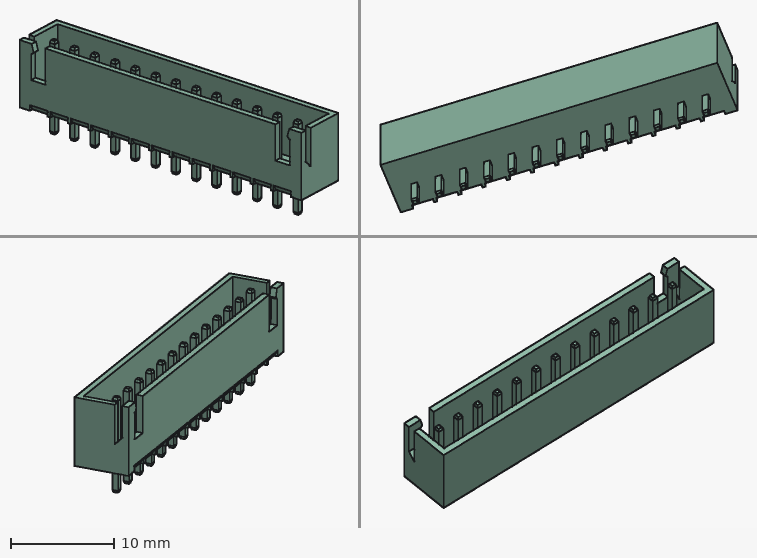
import cadquery as cq


body_length = 34.67
body_depth = 5.82
body_height = 7.2
side_wall = 0.65
back_wall = 0.7
front_wall = 0.7
floor_thickness = 1.25

pin_count = 13
pin_pitch = 2.5
pin_width = 0.62
pin_y = 2.43
pin_drop = 2.98
pin_top_gap = 0.2
tip_height = 0.28
tip_inset = 0.1

window_outer_edge = 1.42
window_inner_edge = 3.2
window_depth = 3.9
bump_top_width = 0.07
bump_tip_width = 0.3
bump_tip_depth = 0.85
bump_end_depth = 1.15

slot_width = 0.8
slot_front_depth = 3.33
slot_back_depth = 4.13

bevel_length = 2.15
bevel_height = 0.62
bevel_depth = 0.4

pin_positions = [(i - (pin_count - 1) / 2) * pin_pitch for i in range(pin_count)]


def make_housing():
    """Open-topped box with a solid floor."""
    outside = cq.Workplane("XY").box(body_length, body_depth, body_height, centered=(True, False, False))
    cavity_length = body_length - 2 * side_wall
    cavity_depth = body_depth - front_wall - back_wall
    cavity_height = body_height - floor_thickness
    cavity = (
        cq.Workplane("XY", origin=(0, front_wall, floor_thickness))
        .box(cavity_length, cavity_depth, cavity_height, centered=(True, False, False))
    )
    return outside.cut(cavity)


def make_window():
    """Left latch window, with a snap bump near the top of its outer edge."""
    outer_x = window_outer_edge - body_length / 2
    inner_x = window_inner_edge - body_length / 2
    bottom_z = body_height - window_depth
    return (
        cq.Workplane("XZ")
        .polyline([
            (outer_x, bottom_z),
            (inner_x, bottom_z),
            (inner_x, body_height),
            (outer_x + bump_top_width, body_height),
            (outer_x + bump_tip_width, body_height - bump_tip_depth),
            (outer_x, body_height - bump_end_depth),
        ])
        .close()
        .extrude(-front_wall)
    )


def make_end_slots():
    """Slot through both end walls, right behind the front wall."""
    slot_back = front_wall + slot_width
    return (
        cq.Workplane("YZ")
        .polyline([
            (front_wall, body_height),
            (front_wall, body_height - slot_front_depth),
            (slot_back, body_height - slot_back_depth),
            (slot_back, body_height),
        ])
        .close()
        .extrude(body_length / 2, both=True)
    )


def make_bevel(x):
    """Wedge that bevels the front bottom edge around one pin."""
    return (
        cq.Workplane("YZ", origin=(x, 0, 0))
        .polyline([(0, 0), (bevel_depth, 0), (0, bevel_height)])
        .close()
        .extrude(bevel_length / 2, both=True)
    )


def make_pin(x):
    """Square pin with a tapered tip at each end."""
    bottom_z = -pin_drop
    top_z = body_height - pin_top_gap
    shank = (
        cq.Workplane("XY", origin=(x, pin_y, bottom_z))
        .rect(pin_width, pin_width)
        .extrude(top_z - bottom_z)
    )
    return shank.faces("<Z or >Z").chamfer(tip_height, tip_inset)


left_window = make_window()
result = make_housing().cut(left_window).cut(left_window.mirror("YZ")).cut(make_end_slots())
for pin_x in pin_positions:
    result = result.cut(make_bevel(pin_x))
for pin_x in pin_positions:
    result = result.union(make_pin(pin_x))